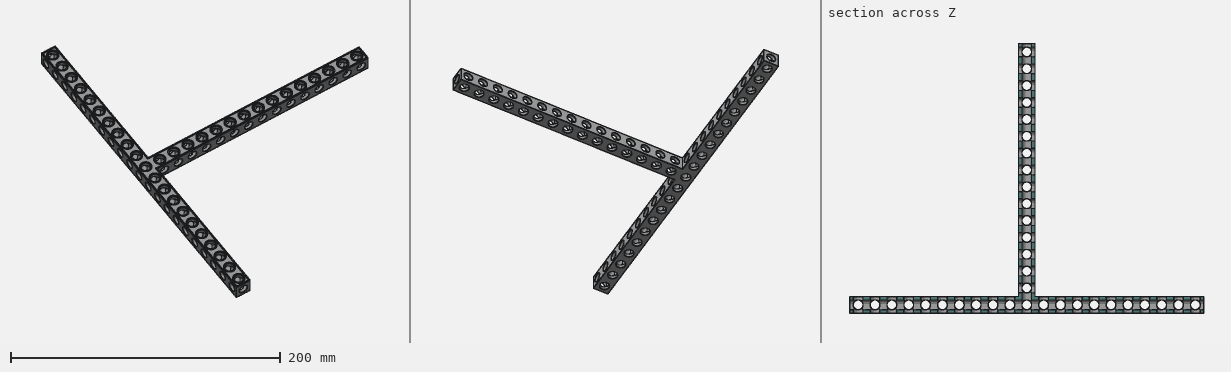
import cadquery as cq

pitch = 12.5
cross_cells = 21
stem_cells = 16
bore_diameter = 7.0
edge_chamfer = 0.3
land_width = 0.8
recess_depth = 0.2

half = pitch / 2
cross_length = cross_cells * pitch
stem_length = stem_cells * pitch
cross_end = cross_length / 2
stem_end = stem_length - half
bore_radius = bore_diameter / 2
mouth_radius = bore_radius + edge_chamfer
collar_radius = mouth_radius + land_width
rim_inset = edge_chamfer + land_width

cross_positions = [i * pitch - cross_end + half for i in range(cross_cells)]
stem_positions = [i * pitch for i in range(stem_cells)]


def tee(inset, z_bottom, z_top):
    """T-shaped slab with its outline moved inwards by inset."""
    height = z_top - z_bottom
    width = pitch - 2 * inset
    cross = cq.Workplane("XY").box(cross_length - 2 * inset, width, height)
    stem = cq.Workplane("XY").box(width, stem_length - 2 * inset, height)
    stem = stem.translate((0, stem_end - stem_length / 2, 0))
    return cross.union(stem).translate((0, 0, (z_bottom + z_top) / 2))


def chamfered_tee():
    """Full-height T with all edges chamfered except the two inner corners."""
    body = tee(0, -half, half)
    outer_corners = body.edges("|Z").filter(
        lambda edge: edge.Center().y < 0
        or abs(edge.Center().x) > half + edge_chamfer
        or edge.Center().y > half + edge_chamfer
    )
    return outer_corners.add(body.edges("#Z")).chamfer(edge_chamfer)


def top_recess():
    """Shallow pocket of the top face, leaving an outer rim and a collar around each bore."""
    floor = half - recess_depth
    centers = [(x, 0) for x in cross_positions] + [(0, y) for y in stem_positions[1:]]
    collars = cq.Workplane("XY").workplane(offset=floor).pushPoints(centers)
    collars = collars.circle(collar_radius).extrude(recess_depth)
    return tee(rim_inset, floor, half).cut(collars)


def chamfered_bore(start, direction, length):
    """Through bore with a conical chamfer at both of its mouths."""
    entry = cq.Vector(*start)
    axis = cq.Vector(*direction)
    leave = entry + axis * length
    bore = cq.Solid.makeCylinder(bore_radius, length, entry, axis)
    entry_cone = cq.Solid.makeCone(mouth_radius, bore_radius, edge_chamfer, entry, axis)
    leave_cone = cq.Solid.makeCone(mouth_radius, bore_radius, edge_chamfer, leave, axis * -1)
    return bore.fuse(entry_cone, leave_cone)


def all_bores():
    """Bores through every cell in X, Y and Z; two of them run lengthwise through the beams."""
    bores = []
    for x in cross_positions:
        in_junction = abs(x) < half
        y_length = stem_length if in_junction else pitch
        bores.append(chamfered_bore((x, 0, -half), (0, 0, 1), pitch))
        bores.append(chamfered_bore((x, -half, 0), (0, 1, 0), y_length))
    for y in stem_positions[1:]:
        bores.append(chamfered_bore((0, y, -half), (0, 0, 1), pitch))
        bores.append(chamfered_bore((-half, y, 0), (1, 0, 0), pitch))
    bores.append(chamfered_bore((-cross_end, 0, 0), (1, 0, 0), cross_length))
    return bores


body = chamfered_tee().cut(top_recess())
drilled = body.val().cut(*all_bores())
result = cq.Workplane("XY").newObject(drilled.Solids())